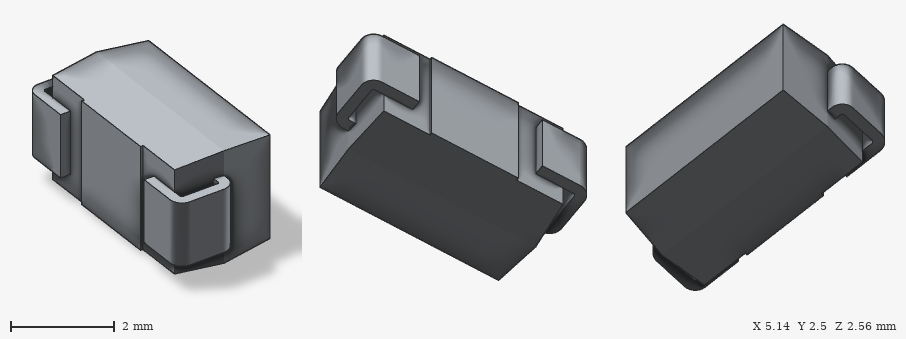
import cadquery as cq
import math

housing_length = 4.325
housing_height = 2.56
half_depth = 1.145
draft_angle = 5.0
face_depth = 1.09
pad_width = 2.0

overall_length = 5.14
overall_depth = 2.5
lead_width = 1.44
lead_thickness = 0.23
bend_radius = 0.285
foot_end_x = 1.42

draft_inset = half_depth * math.tan(math.radians(draft_angle))
end_length = housing_length - 2 * draft_inset
end_height = housing_height - 2 * draft_inset
lead_front_y = half_depth - overall_depth
lead_outer_x = overall_length / 2
selection_margin = 0.005


def tapered_half(end_y):
    """Loft from the widest section at Y = 0 to the smaller end section."""
    return (
        cq.Workplane("XZ")
        .rect(housing_length, housing_height)
        .workplane(offset=-end_y)
        .rect(end_length, end_height)
        .loft(ruled=True)
    )


def front_step(side):
    """Block that lowers the front face between the pad and one end (side is -1 or 1)."""
    step_length = (housing_length - pad_width) / 2
    center_x = side * (pad_width + step_length) / 2
    return (
        cq.Workplane("XZ", origin=(center_x, -face_depth, 0))
        .rect(step_length, housing_height)
        .extrude(half_depth - face_depth)
    )


def make_housing():
    """Mirrored tapered halves; steps at both ends leave a raised pad on the front."""
    body = tapered_half(half_depth).union(tapered_half(-half_depth))
    for side in (-1, 1):
        body = body.cut(front_step(side))
    return body


def make_lead(side, housing):
    """C-shaped lead at one end (side is -1 or 1), butting against the sloped housing end."""
    outer_x = side * lead_outer_x
    inner_x = side * (lead_outer_x - lead_thickness)
    foot_x = side * foot_end_x
    root_x = side * end_length / 2
    strip = (
        cq.Workplane("XY", origin=(0, 0, -lead_width / 2))
        .polyline([
            (root_x, 0),
            (outer_x, 0),
            (outer_x, lead_front_y),
            (foot_x, lead_front_y),
            (foot_x, lead_front_y + lead_thickness),
            (inner_x, lead_front_y + lead_thickness),
            (inner_x, -lead_thickness),
            (root_x, -lead_thickness),
        ])
        .close()
        .extrude(lead_width)
    )
    outward = ">X" if side > 0 else "<X"
    strip = strip.faces(outward).edges("|Z").fillet(bend_radius)
    inner_bends = cq.selectors.BoxSelector(
        (inner_x - selection_margin, lead_front_y, -lead_width),
        (inner_x + selection_margin, 0, lead_width),
    )
    strip = strip.edges("|Z").edges(inner_bends).fillet(bend_radius - lead_thickness)
    return strip.cut(housing)


housing = make_housing()
leads = [make_lead(side, housing) for side in (-1, 1)]

result = cq.Compound.makeCompound([housing.val(), *[lead.val() for lead in leads]])